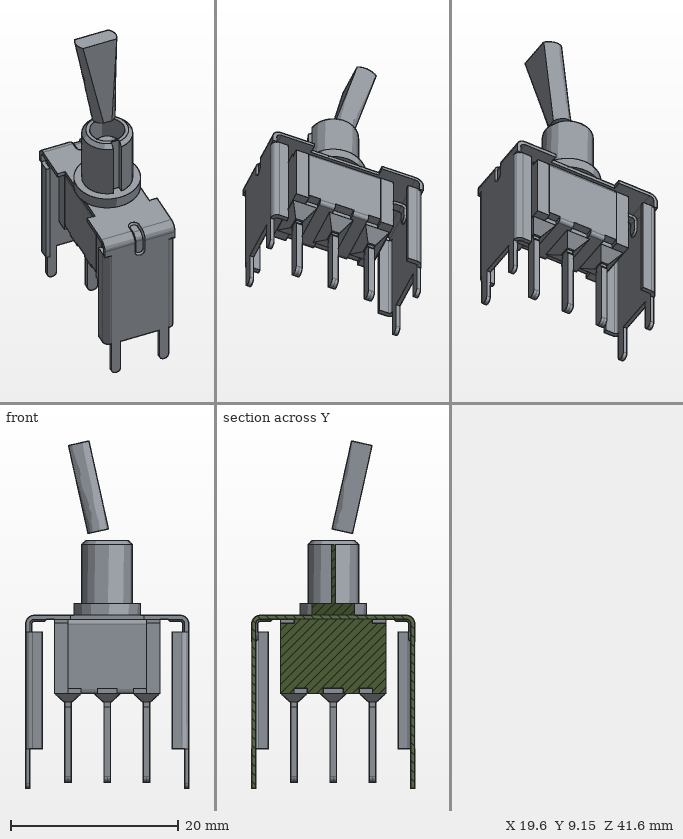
import cadquery as cq
import math

OVERALL_HEIGHT = 41.6

LEVER_TILT = 12.5
PIVOT_Z = 5.15
PADDLE_START = 5.0
PADDLE_LENGTH = 10.8
PADDLE_THICKNESS = 2.55
PADDLE_TOP_FLAT = 4.4
PADDLE_TOP_WIDTH = 5.1
PADDLE_TIP_FLAT = 1.1
PADDLE_TIP_WIDTH = 2.8

FLANGE_DIAMETER = 8.0
FLANGE_HEIGHT = 1.4
BUSHING_DIAMETER = 6.1
BUSHING_HEIGHT = 8.95
BUSHING_CHAMFER = 0.5
BORE_DIAMETER = 4.2
KEYWAY_WIDTH = 1.05
KEYWAY_FLOOR = 2.3
DISH_RADIUS = 1.2
DISH_DEPTH = 0.35

BRACKET_LENGTH = 19.55
BRACKET_WIDTH = 9.15
SHEET = 0.5
BEND_RADIUS = 1.1
WAIST_LENGTH = 8.82
WAIST_WIDTH = 7.1
SIDE_BOTTOM = -16.0
WING_TOP = -2.0
WING_DEPTH = 2.0
WING_RADIUS = 0.85
LEG_WIDTH = 1.2
BEAD_DEPTH = 0.25
BEAD_WIDTH = 1.35
BEAD_FLOOR_WIDTH = 0.9
BEAD_TOP_END = 7.3
BEAD_SIDE_END = -3.15

CASE_LENGTH = 12.65
CASE_BOTTOM = -9.4
CORE_WIDTH = 5.0
POST_WIDTH = 7.1
POST_TOP = -0.95
PANEL_LENGTH = 9.35
PANEL_WIDTH = 7.0
PANEL_TOP_ROUND = 0.6
PANEL_BOTTOM_ROUND = 0.45
NOTCH_HEIGHT = 0.62
MIDDLE_NOTCH_WIDTH = 2.37
FOOT_BOTTOM = -10.4
FOOT_TOP_LENGTH = 3.1
FOOT_TIP_LENGTH = 1.0
FOOT_TIP_WIDTH = 1.5

TERMINAL_PITCH = 4.7
TERMINAL_THICKNESS = 0.8
TERMINAL_WIDTH = 1.35
TERMINAL_BOTTOM = -20.0
NECK_BOTTOM = -11.0
NECK_WIDTH = 1.1

TILT = math.radians(LEVER_TILT)
PADDLE_END = PADDLE_START + PADDLE_LENGTH
LEVER_TOP = PIVOT_Z + PADDLE_END * math.cos(TILT) + PADDLE_THICKNESS / 2 * math.sin(TILT)
LEG_BOTTOM = LEVER_TOP - OVERALL_HEIGHT
HALF_LENGTH = BRACKET_LENGTH / 2
HALF_WIDTH = BRACKET_WIDTH / 2
LEG_OFFSET = HALF_WIDTH - WING_RADIUS - LEG_WIDTH / 2
TERMINAL_PLACES = [-TERMINAL_PITCH, 0, TERMINAL_PITCH]


def block(length, width, bottom, top):
    """A box centred on the Z axis between two heights."""
    return cq.Workplane("XY").workplane(offset=bottom).rect(length, width).extrude(top - bottom)


def round_ended_blade(thickness, width, bottom, top):
    """A flat upright blade, thin along X, whose lower end is a half circle."""
    radius = width / 2
    tip = cq.Workplane("YZ", origin=(0, 0, bottom + radius)).circle(radius)
    return block(thickness, width, bottom + radius, top).union(tip.extrude(thickness / 2, both=True))


def tilted(body):
    """Lean a lever part from its own frame about the ball centre."""
    return body.rotate((0, 0, 0), (0, 1, 0), -LEVER_TILT).translate((0, 0, PIVOT_Z))


def paddle_section(plane, flat, width):
    """Two parallel flats joined by bulging sides."""
    half = PADDLE_THICKNESS / 2
    return (
        plane.moveTo(-half, -flat / 2)
        .threePointArc((0, -width / 2), (half, -flat / 2))
        .lineTo(half, flat / 2)
        .threePointArc((0, width / 2), (-half, flat / 2))
        .close()
    )


def make_paddle():
    tip = paddle_section(
        cq.Workplane("XY").workplane(offset=PADDLE_START), PADDLE_TIP_FLAT, PADDLE_TIP_WIDTH
    )
    end = paddle_section(tip.workplane(offset=PADDLE_LENGTH), PADDLE_TOP_FLAT, PADDLE_TOP_WIDTH)
    return tilted(end.loft(ruled=True))


def make_ball():
    """A ball that touches the bore, with a shallow dish facing the paddle."""
    radius = BORE_DIAMETER / 2
    rim = math.sqrt(radius**2 - DISH_RADIUS**2)
    dish_radius = (DISH_RADIUS**2 + DISH_DEPTH**2) / (2 * DISH_DEPTH)
    dish = cq.Workplane("XY", origin=(0, 0, rim - DISH_DEPTH + dish_radius)).sphere(dish_radius)
    return tilted(cq.Workplane("XY").sphere(radius).cut(dish))


def make_bushing():
    flange = cq.Workplane("XY").circle(FLANGE_DIAMETER / 2).extrude(FLANGE_HEIGHT)
    barrel = cq.Workplane("XY").circle(BUSHING_DIAMETER / 2).extrude(BUSHING_HEIGHT)
    barrel = barrel.faces(">Z").edges().chamfer(BUSHING_CHAMFER)
    keyway = block(BUSHING_DIAMETER, KEYWAY_WIDTH, FLANGE_HEIGHT, BUSHING_HEIGHT)
    keyway = keyway.translate((KEYWAY_FLOOR + BUSHING_DIAMETER / 2, 0, 0))
    bore = cq.Workplane("XY").circle(BORE_DIAMETER / 2).extrude(BUSHING_HEIGHT)
    return flange.union(barrel.cut(keyway)).cut(bore)


def bend_path(inset, top_x, side_z):
    """The line of the left bend, from the top down the side, at a depth below the outer face."""
    outer_x = inset - HALF_LENGTH
    radius = BEND_RADIUS - inset
    diagonal = radius * (1 - math.sqrt(0.5))
    return (
        cq.Workplane("XZ")
        .moveTo(top_x, -inset)
        .lineTo(outer_x + radius, -inset)
        .threePointArc((outer_x + diagonal, -inset - diagonal), (outer_x, -inset - radius))
        .lineTo(outer_x, side_z)
    )


def bent_sheet():
    """Half the top and one side as a single strip of sheet."""
    section = cq.Workplane("YZ").moveTo(0, -SHEET / 2).rect(BRACKET_WIDTH, SHEET)
    return section.sweep(bend_path(0, 0, SIDE_BOTTOM))


def bead(inset):
    """A strip with sloping flanks and round ends that follows the bend at a depth."""
    top_x = -BEAD_TOP_END - BEAD_WIDTH / 2
    side_z = BEAD_WIDTH / 2 + BEAD_SIDE_END
    wide = BEAD_WIDTH / 2
    narrow = BEAD_FLOOR_WIDTH / 2
    slope = math.degrees(math.atan2(wide - narrow, BEAD_DEPTH))
    strip = (
        cq.Workplane("YZ", origin=(top_x, 0, -inset))
        .polyline([(-wide, 0), (wide, 0), (narrow, -BEAD_DEPTH), (-narrow, -BEAD_DEPTH)])
        .close()
        .sweep(bend_path(inset, top_x, side_z))
    )
    top_end = cq.Workplane("XY", origin=(top_x, 0, -inset)).circle(wide)
    side_end = cq.Workplane("YZ", origin=(inset - HALF_LENGTH, 0, side_z)).circle(wide)
    strip = strip.union(top_end.extrude(-BEAD_DEPTH, taper=slope))
    return strip.union(side_end.extrude(BEAD_DEPTH, taper=slope))


def bracket_side():
    """The left half of the bracket: half the top, the bent side, its wings, legs and bead."""
    half = bent_sheet()

    for sign in (-1, 1):
        waist = block(WAIST_LENGTH, BRACKET_WIDTH, -SHEET, 0)
        half = half.cut(waist.translate((0, sign * (WAIST_WIDTH + BRACKET_WIDTH) / 2, 0)))

    half = half.cut(block(BRACKET_LENGTH, BRACKET_WIDTH, SIDE_BOTTOM, WING_TOP))
    channel = (
        cq.Workplane("XY", origin=(WING_DEPTH / 2 - HALF_LENGTH, 0, SIDE_BOTTOM))
        .rect(WING_DEPTH, BRACKET_WIDTH)
        .extrude(WING_TOP - SIDE_BOTTOM)
        .edges("|Z and <X")
        .fillet(WING_RADIUS)
        .faces(">X or >Z or <Z")
        .shell(-SHEET)
    )
    half = half.union(channel)

    leg = round_ended_blade(SHEET, LEG_WIDTH, LEG_BOTTOM, SIDE_BOTTOM)
    for sign in (-1, 1):
        half = half.union(leg.translate((SHEET / 2 - HALF_LENGTH, sign * LEG_OFFSET, 0)))

    half = half.union(bead(SHEET))
    return half.cut(bead(0))


def make_bracket():
    left = bracket_side()
    return left.union(left.mirror("YZ")).clean()


def make_case():
    core = block(CASE_LENGTH, CORE_WIDTH, CASE_BOTTOM, -SHEET)
    posts = block(CASE_LENGTH, POST_WIDTH, CASE_BOTTOM, POST_TOP)
    posts = posts.cut(block(PANEL_LENGTH, POST_WIDTH, CASE_BOTTOM, POST_TOP))
    panel = block(PANEL_LENGTH, PANEL_WIDTH, CASE_BOTTOM, -SHEET)
    panel = panel.edges("|X and >Z").fillet(PANEL_TOP_ROUND)
    panel = panel.edges("|X and <Z").fillet(PANEL_BOTTOM_ROUND)

    for x in TERMINAL_PLACES:
        width = MIDDLE_NOTCH_WIDTH if x == 0 else FOOT_TOP_LENGTH
        notch = block(width, PANEL_WIDTH, CASE_BOTTOM, CASE_BOTTOM + NOTCH_HEIGHT)
        panel = panel.cut(notch.translate((x, 0, 0)))
    case = core.union(posts).union(panel)

    for x in TERMINAL_PLACES:
        foot = (
            cq.Workplane("XY", origin=(x, 0, CASE_BOTTOM))
            .rect(FOOT_TOP_LENGTH, CORE_WIDTH)
            .workplane(offset=FOOT_BOTTOM - CASE_BOTTOM)
            .rect(FOOT_TIP_LENGTH, FOOT_TIP_WIDTH)
            .loft()
        )
        case = case.union(foot)
    return case


def make_terminal(x):
    """A round-ended blade with a narrower neck that starts under the foot."""
    neck = block(TERMINAL_THICKNESS, NECK_WIDTH, NECK_BOTTOM, FOOT_BOTTOM)
    blade = round_ended_blade(TERMINAL_THICKNESS, TERMINAL_WIDTH, TERMINAL_BOTTOM, NECK_BOTTOM)
    return neck.union(blade).translate((x, 0, 0))


paddle = make_paddle()
ball = make_ball()
bushing = make_bushing()
bracket = make_bracket()
case = make_case()
terminals = [make_terminal(x) for x in TERMINAL_PLACES]

result = cq.Compound.makeCompound(
    [
        paddle.val(),
        ball.val(),
        bushing.val(),
        bracket.val(),
        case.val(),
        *[terminal.val() for terminal in terminals],
    ]
)